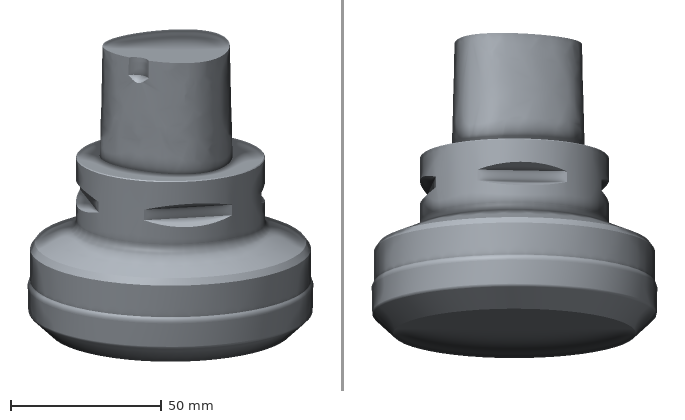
import cadquery as cq
import math

TOTAL_HEIGHT = 97.95

RING_HEIGHT = 17.1
RING_TOP_RADIUS = 46.8
RING_MAX_RADIUS = 47.6
RING_ROUND_BOTTOM_Z = 15.2
BEVEL_RADIUS = 47.4
BEVEL_HEIGHT = 6.6
RING_BOTTOM_RADIUS = 40.5
BEVEL_EDGE_FILLET = 1.2

BODY_RADIUS = 46.8
BODY_EDGE_Z = 28.0
CONE_RADIUS = 45.3
CONE_Z = 30.2
NECK_RADIUS = 63.0 / 2
NECK_CONE_Z = 36.0
NECK_TOP_Z = 59.8
NECK_FILLET = 3.0
NECK_CHAMFER = 0.3

SHANK_BASE_RADIUS = 22.1
SHANK_TAPER = 1 / 40
LOBE_HEIGHT = 1.5
LOBE_POINTS = 36

NOTCH_RADIUS = 4.9
NOTCH_AXIS_Y = -22.5
NOTCH_EDGE_Z = 91.9
NOTCH_TIP_DEPTH = 4.5

GROOVE_COUNT = 4
GROOVE_FIRST_ANGLE = 45
GROOVE_MID_Z = 47.9
GROOVE_FLOOR_HEIGHT = 3.6
GROOVE_FLOOR_DISTANCE = 27.7
GROOVE_SIDE_ANGLE = 30
GROOVE_CUT_DEPTH = 4.9


def revolve_profile(profile):
    """Turn a closed (radius, height) outline about the Z axis."""
    return profile.close().revolve(360, (0, 0, 0), (0, 1, 0))


def make_ring():
    """Solid base ring with a rounded top edge and a wide bottom bevel."""
    profile = (
        cq.Workplane("XZ")
        .lineTo(RING_BOTTOM_RADIUS, 0)
        .lineTo(BEVEL_RADIUS, BEVEL_HEIGHT)
        .lineTo(RING_MAX_RADIUS, RING_ROUND_BOTTOM_Z)
        .tangentArcPoint((RING_TOP_RADIUS, RING_HEIGHT), relative=False)
        .lineTo(0, RING_HEIGHT)
    )
    bevel_edge = cq.selectors.BoxSelector(
        (-RING_MAX_RADIUS, -RING_MAX_RADIUS, BEVEL_HEIGHT - BEVEL_EDGE_FILLET),
        (RING_MAX_RADIUS, RING_MAX_RADIUS, BEVEL_HEIGHT + BEVEL_EDGE_FILLET),
        boundingbox=True,
    )
    return revolve_profile(profile).edges(bevel_edge).fillet(BEVEL_EDGE_FILLET)


def make_turned_body():
    """Body, cone and neck, with the neck fillet drawn as a tangent arc."""
    cone_angle = math.atan2(NECK_CONE_Z - CONE_Z, CONE_RADIUS - NECK_RADIUS)
    turn_angle = math.pi / 2 - cone_angle
    tangent_length = NECK_FILLET * math.tan(turn_angle / 2)
    cone_tangent = (
        NECK_RADIUS + tangent_length * math.cos(cone_angle),
        NECK_CONE_Z - tangent_length * math.sin(cone_angle),
    )
    neck_tangent = (NECK_RADIUS, NECK_CONE_Z + tangent_length)
    fillet_mid = (
        NECK_RADIUS + NECK_FILLET * (1 - math.cos(turn_angle / 2)),
        neck_tangent[1] - NECK_FILLET * math.sin(turn_angle / 2),
    )
    profile = (
        cq.Workplane("XZ")
        .moveTo(0, RING_HEIGHT)
        .lineTo(BODY_RADIUS, RING_HEIGHT)
        .lineTo(BODY_RADIUS, BODY_EDGE_Z)
        .lineTo(CONE_RADIUS, CONE_Z)
        .lineTo(*cone_tangent)
        .threePointArc(fillet_mid, neck_tangent)
        .lineTo(NECK_RADIUS, NECK_TOP_Z - NECK_CHAMFER)
        .lineTo(NECK_RADIUS - NECK_CHAMFER, NECK_TOP_Z)
        .lineTo(0, NECK_TOP_Z)
    )
    return revolve_profile(profile)


def lobed_points(mean_radius):
    """Points of a three-lobed curve with one lobe toward +Y."""
    points = []
    for index in range(LOBE_POINTS):
        angle = 2 * math.pi * index / LOBE_POINTS
        x = mean_radius * math.sin(angle) - LOBE_HEIGHT * math.sin(2 * angle)
        y = mean_radius * math.cos(angle) + LOBE_HEIGHT * math.cos(2 * angle)
        points.append((x, y))
    return points


def make_shank():
    shank_height = TOTAL_HEIGHT - NECK_TOP_Z
    top_radius = SHANK_BASE_RADIUS - shank_height * SHANK_TAPER
    return (
        cq.Workplane("XY", origin=(0, 0, NECK_TOP_Z))
        .spline(lobed_points(SHANK_BASE_RADIUS), periodic=True)
        .close()
        .workplane(offset=shank_height)
        .spline(lobed_points(top_radius), periodic=True)
        .close()
        .loft(ruled=True)
    )


def make_notch_cutter():
    """Vertical drill shape with a conical tip."""
    profile = (
        cq.Workplane("XZ", origin=(0, NOTCH_AXIS_Y, 0))
        .moveTo(0, NOTCH_EDGE_Z - NOTCH_TIP_DEPTH)
        .lineTo(NOTCH_RADIUS, NOTCH_EDGE_Z)
        .lineTo(NOTCH_RADIUS, TOTAL_HEIGHT)
        .lineTo(0, TOTAL_HEIGHT)
    )
    return revolve_profile(profile)


def make_groove_cutter(angle):
    """Straight trapezoidal groove, its floor facing the given direction."""
    floor_half = GROOVE_FLOOR_HEIGHT / 2
    flare = GROOVE_CUT_DEPTH * math.tan(math.radians(GROOVE_SIDE_ANGLE))
    mouth_distance = GROOVE_FLOOR_DISTANCE + GROOVE_CUT_DEPTH
    return (
        cq.Workplane("XZ")
        .moveTo(GROOVE_FLOOR_DISTANCE, GROOVE_MID_Z - floor_half)
        .lineTo(mouth_distance, GROOVE_MID_Z - floor_half - flare)
        .lineTo(mouth_distance, GROOVE_MID_Z + floor_half + flare)
        .lineTo(GROOVE_FLOOR_DISTANCE, GROOVE_MID_Z + floor_half)
        .close()
        .extrude(NECK_RADIUS, both=True)
        .rotate((0, 0, 0), (0, 0, 1), angle)
    )


def make_holder():
    holder = make_turned_body().union(make_shank())
    holder = holder.cut(make_notch_cutter())
    for index in range(GROOVE_COUNT):
        angle = GROOVE_FIRST_ANGLE + index * 360 / GROOVE_COUNT
        holder = holder.cut(make_groove_cutter(angle))
    return holder


base_ring = make_ring()
holder = make_holder()

result = cq.Compound.makeCompound([base_ring.val(), holder.solids().val()])